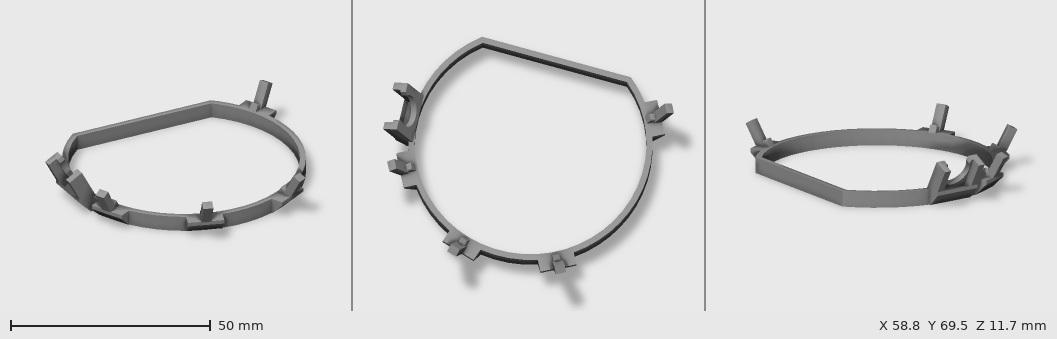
import cadquery as cq
import math

ring_outer_radius = 30.5
ring_wall = 1.5
ring_height = 4.0
ring_inner_radius = ring_outer_radius - ring_wall
flat_outer_x = -23.6
flat_inner_x = flat_outer_x + ring_wall

tab_reach = 33.35
tab_tip_height = 1.0
tab_width = 9.2
tab_root_radius = ring_outer_radius - ring_wall / 2
tab_slope_foot = tab_reach - (ring_height - tab_tip_height)

lean = 28.0
lean_sin = math.sin(math.radians(lean))
lean_cos = math.cos(math.radians(lean))
lean_tan = math.tan(math.radians(lean))

prong_angles = (118.0, 28.0, -17.0, -62.0)
prong_width = 2.6
prong_root_radius = 33.6
prong_thickness = 2.1
prong_top = 10.3
stop_width = 2.0
stop_root_radius = 29.5
stop_top = 5.9
stop_edge_radius = 0.5

clip_angle = -87.0
clip_width = 12.5
clip_thickness = 4.0
clip_top = 11.7
clip_web_thickness = 1.6
clip_recess_width = 8.7
clip_bore_radius = 4.0
clip_bore_offset = 5.4
clip_lip_offset = 7.6
clip_mouth_half_width = 3.8


def profile_prism(points, width):
    """Prism from (radius, Z) points, centred on the radial plane."""
    return cq.Workplane("XZ").polyline(points).close().extrude(width / 2, both=True)


def flat_sided_disc(radius, flat_x):
    disc = cq.Workplane("XY").circle(radius).extrude(ring_height)
    keep = (
        cq.Workplane("XY")
        .box(2 * radius, 2 * radius, ring_height, centered=(False, True, False))
        .translate((flat_x, 0, 0))
    )
    return disc.intersect(keep)


def tab(width):
    return profile_prism(
        [
            (tab_root_radius, 0),
            (tab_slope_foot, 0),
            (tab_reach, ring_height - tab_tip_height),
            (tab_reach, ring_height),
            (tab_root_radius, ring_height),
        ],
        width,
    )


def leaning_bar(outer_root, thickness, top, width):
    """Bar leaning outward from the tab top, with an end square to the lean."""
    inner_root = outer_root - thickness / lean_cos
    inner_tip = inner_root + (top - ring_height) * lean_tan
    outer_tip_z = top - thickness * lean_sin
    outer_tip = inner_tip + thickness * lean_cos
    return profile_prism(
        [
            (inner_root, ring_height),
            (inner_tip, top),
            (outer_tip, outer_tip_z),
            (outer_root, ring_height),
        ],
        width,
    )


def prong_bracket():
    prong = leaning_bar(prong_root_radius, prong_thickness, prong_top, prong_width)
    prong_inner_root = prong_root_radius - prong_thickness / lean_cos
    stop_thickness = (prong_inner_root - stop_root_radius) * lean_cos
    stop = leaning_bar(prong_inner_root, stop_thickness, stop_top, stop_width)
    lean_end = cq.selectors.DirectionNthSelector(cq.Vector(lean_sin, 0, lean_cos), -1)
    stop = stop.faces(lean_end).edges("not |Y").fillet(stop_edge_radius)
    return tab(tab_width).union(prong).union(stop)


def clip_bracket():
    inner_root = tab_reach - clip_thickness / lean_cos
    plate = leaning_bar(tab_reach, clip_thickness, clip_top, clip_width)
    plate_length = (clip_top - ring_height) / lean_cos
    face = cq.Workplane(
        cq.Plane(
            origin=(inner_root, 0, ring_height),
            xDir=(0, -1, 0),
            normal=(-lean_cos, 0, lean_sin),
        )
    )
    bore = face.center(0, clip_bore_offset).circle(clip_bore_radius).extrude(-clip_thickness)
    lip_half_width = math.sqrt(clip_bore_radius**2 - (clip_lip_offset - clip_bore_offset) ** 2)
    mouth = (
        face.moveTo(-lip_half_width, clip_bore_offset)
        .lineTo(-lip_half_width, clip_lip_offset)
        .lineTo(-clip_mouth_half_width, plate_length)
        .lineTo(clip_mouth_half_width, plate_length)
        .lineTo(lip_half_width, clip_lip_offset)
        .lineTo(lip_half_width, clip_bore_offset)
        .close()
        .extrude(-clip_thickness)
    )
    recess = (
        face.workplane(offset=-clip_web_thickness)
        .center(0, plate_length / 2)
        .rect(clip_recess_width, plate_length)
        .extrude(clip_web_thickness - clip_thickness)
    )
    return tab(clip_width).union(plate).cut(bore).cut(mouth).cut(recess)


def turned(body, angle):
    return body.rotate((0, 0, 0), (0, 0, 1), angle)


result = flat_sided_disc(ring_outer_radius, flat_outer_x)
for angle in prong_angles:
    result = result.union(turned(prong_bracket(), angle))
result = result.cut(flat_sided_disc(ring_inner_radius, flat_inner_x))
result = result.union(turned(clip_bracket(), clip_angle))